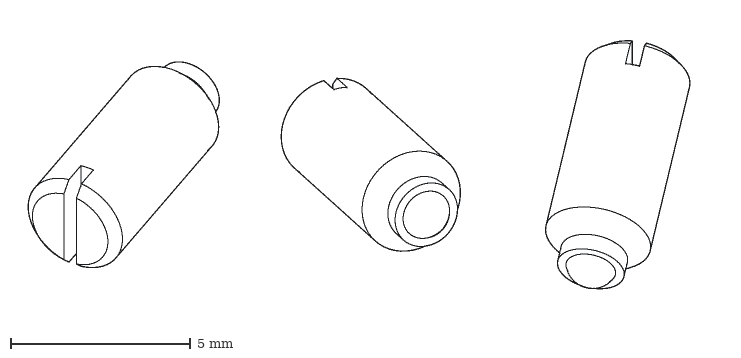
import cadquery as cq
import math

length = 7.5
body_radius = 1.5
end_chamfer = 0.3
neck_radius = 0.95
neck_length = 0.5
ball_radius = 0.75
ball_protrusion = 0.5
slot_width = 0.4
slot_depth = 1.0

neck_end = length - ball_protrusion
shoulder_end = neck_end - neck_length
shoulder_start = shoulder_end - (body_radius - neck_radius)

ball_center = length - ball_radius
ball_rim_radius = math.sqrt(ball_radius**2 - (neck_end - ball_center) ** 2)
arc_mid_angle = math.asin((neck_end - ball_center) / ball_radius) / 2 + math.pi / 4
arc_mid = (
    ball_radius * math.cos(arc_mid_angle),
    ball_center + ball_radius * math.sin(arc_mid_angle),
)


def make_turned_body():
    """Revolve the half profile (radius, Y) about the Y axis."""
    return (
        cq.Workplane("XY")
        .moveTo(0, 0)
        .lineTo(body_radius - end_chamfer, 0)
        .lineTo(body_radius, end_chamfer)
        .lineTo(body_radius, shoulder_start)
        .lineTo(neck_radius, shoulder_end)
        .lineTo(neck_radius, neck_end)
        .lineTo(ball_rim_radius, neck_end)
        .threePointArc(arc_mid, (0, length))
        .close()
        .revolve(360, (0, 0, 0), (0, 1, 0))
    )


def make_driver_slot():
    """Screwdriver slot running right across the flat end along Z."""
    return cq.Workplane("XY").box(
        slot_width, slot_depth, 2 * body_radius, centered=(True, False, True)
    )


result = make_turned_body().cut(make_driver_slot())